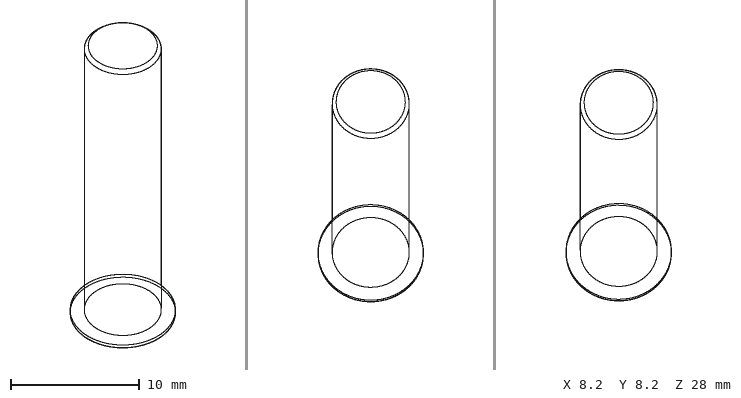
import cadquery as cq

total_height = 28.0
shaft_diameter = 6.0
flange_diameter = 8.2
flange_thickness = 0.3
tip_chamfer = 0.3

flange = cq.Workplane("XY").circle(flange_diameter / 2).extrude(flange_thickness)

shaft = (
    cq.Workplane("XY")
    .circle(shaft_diameter / 2)
    .extrude(total_height)
    .faces(">Z")
    .chamfer(tip_chamfer)
)

result = flange.union(shaft)